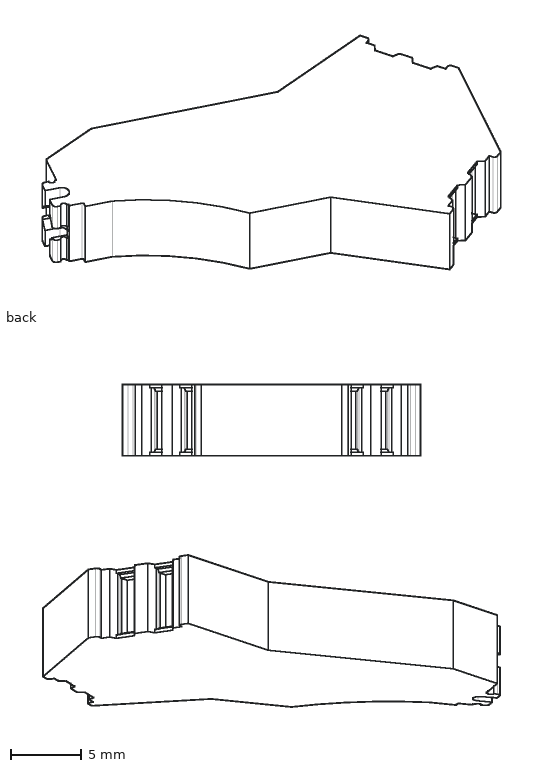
import cadquery as cq
import math

LENGTH = 32.2
HEIGHT = 5.1
HEAD_WIDTH = 21.2

BODY_WIDTH = 12.53
HEAD_FLAT = 9.98
SIDE_ANGLE = 60
HEAD_TIP_Y = 10.53
TAIL_CORNER_Y = -10.85
TAIL_Y = -14.97
ARC_START_Y = -3.0
ARC_END = (2.03, -11.9)
ARC_RADIUS = 18.68
STEP_X = 1.6
STEP_Y = -13.9
STEP_ROUND = 0.13

FORK_WIDTH = 2.9
GROOVE_Y = -15.33
GROOVE_RADIUS = 0.23
BEAD_ROUND = 0.3
FORK_SLOT = 1.05
FORK_SLOT_DEPTH = 1.6
CROSS_SLOT = 1.03
BORE_DIAMETER = 2.4
BORE_DEPTH = 3.85
BORE_END_SLOPE = 25

RECESS_WIDTH = 6.35
RECESS_DEPTH = 0.5
LIP_ROUND = 0.24
POCKET_OFFSET = 1.5
POCKET_MOUTH = 2.0
POCKET_FLOOR = 1.42
POCKET_DEPTH = 1.0
WELL_WIDTH = 1.3
WELL_STEP_DEPTH = 1.4
WELL_CHAMFER = 0.13
WELL_INNER_WIDTH = 1.22
WELL_STRAIGHT_DEPTH = 1.67
WELL_DEPTH = 2.2
WELL_FLOOR = 0.87
WELL_MARGIN = 0.25
WELL_INNER_MARGIN = 0.48

top_y = LENGTH / 2
end_y = -LENGTH / 2
body_side = BODY_WIDTH / 2
head_tip = HEAD_WIDTH / 2
slope = math.tan(math.radians(SIDE_ANGLE))


def make_body():
    waist_y = HEAD_TIP_Y - (head_tip - body_side) * slope
    tail_x = -body_side + (TAIL_CORNER_Y - TAIL_Y) / slope
    arc_x, arc_y = ARC_END
    outline = (
        cq.Workplane("XY")
        .workplane(offset=-HEIGHT / 2)
        .moveTo(-HEAD_FLAT / 2, top_y)
        .lineTo(HEAD_FLAT / 2, top_y)
        .lineTo(head_tip, HEAD_TIP_Y)
        .lineTo(body_side, waist_y)
        .lineTo(body_side, ARC_START_Y)
        .radiusArc((arc_x, arc_y), -ARC_RADIUS)
        .lineTo(arc_x, STEP_Y)
        .lineTo(STEP_X + STEP_ROUND, STEP_Y)
        .radiusArc((STEP_X, STEP_Y - STEP_ROUND), -STEP_ROUND)
        .lineTo(STEP_X, TAIL_Y)
        .lineTo(tail_x, TAIL_Y)
        .lineTo(-body_side, TAIL_CORNER_Y)
        .lineTo(-body_side, waist_y)
        .lineTo(-head_tip, HEAD_TIP_Y)
        .close()
    )
    return outline.extrude(HEIGHT)


def make_fork():
    """Block with a rounded tip and a round groove along each side, which leaves a bead at its end."""
    half_fork = FORK_WIDTH / 2
    groove_top = GROOVE_Y + GROOVE_RADIUS
    groove_bottom = GROOVE_Y - GROOVE_RADIUS
    groove_floor = half_fork - GROOVE_RADIUS
    return (
        cq.Workplane("XY")
        .workplane(offset=-HEIGHT / 2)
        .moveTo(-half_fork, TAIL_Y)
        .lineTo(-half_fork, groove_top)
        .threePointArc((-groove_floor, GROOVE_Y), (-half_fork, groove_bottom))
        .lineTo(-half_fork, end_y + BEAD_ROUND)
        .radiusArc((-half_fork + BEAD_ROUND, end_y), -BEAD_ROUND)
        .lineTo(half_fork - BEAD_ROUND, end_y)
        .radiusArc((half_fork, end_y + BEAD_ROUND), -BEAD_ROUND)
        .lineTo(half_fork, groove_bottom)
        .threePointArc((groove_floor, GROOVE_Y), (half_fork, groove_top))
        .lineTo(half_fork, TAIL_Y)
        .close()
        .extrude(HEIGHT)
    )


def make_fork_slots():
    """Round-ended upright slot and the level slot that crosses it."""
    radius = FORK_SLOT / 2
    centre_y = end_y + FORK_SLOT_DEPTH - radius
    upright = (
        cq.Workplane("XY")
        .workplane(offset=-HEIGHT / 2)
        .moveTo(-radius, end_y)
        .lineTo(-radius, centre_y)
        .threePointArc((0, centre_y + radius), (radius, centre_y))
        .lineTo(radius, end_y)
        .close()
        .extrude(HEIGHT)
    )
    fork_length = TAIL_Y - end_y
    level = cq.Workplane("XY").box(FORK_WIDTH, fork_length, CROSS_SLOT)
    return upright.union(level.translate((0, (TAIL_Y + end_y) / 2, 0)))


def make_bore():
    """Bore from the fork end; the upper half of its end leans away from the mouth."""
    radius = BORE_DIAMETER / 2
    floor_y = end_y + BORE_DEPTH
    lean_y = floor_y + radius * math.tan(math.radians(BORE_END_SLOPE))
    cylinder = cq.Workplane("XZ", origin=(0, end_y, 0)).circle(radius).extrude(end_y - lean_y)
    side_shape = (
        cq.Workplane("YZ")
        .polyline([(end_y, -radius), (floor_y, -radius), (floor_y, 0), (lean_y, radius), (end_y, radius)])
        .close()
        .extrude(radius, both=True)
    )
    return cylinder.intersect(side_shape)


def make_prism(points, height):
    return cq.Workplane("XY").polyline(points).close().extrude(height / 2, both=True)


def trapezoid(outer_width, outer_depth, inner_width, inner_depth):
    """Symmetric four-sided outline, X along the edge and -Y into the body."""
    return [
        (-outer_width / 2, -outer_depth),
        (outer_width / 2, -outer_depth),
        (inner_width / 2, -inner_depth),
        (-inner_width / 2, -inner_depth),
    ]


def make_pocket():
    outer_height = HEIGHT - 2 * WELL_MARGIN
    inner_height = HEIGHT - 2 * WELL_INNER_MARGIN
    flank = (POCKET_MOUTH - POCKET_FLOOR) / 2 / (POCKET_DEPTH - RECESS_DEPTH)
    flank_end = POCKET_DEPTH + (POCKET_FLOOR - WELL_WIDTH) / 2 / flank
    chamfer_end = WELL_STEP_DEPTH + WELL_CHAMFER
    pocket = make_prism(trapezoid(POCKET_MOUTH, RECESS_DEPTH, POCKET_FLOOR, POCKET_DEPTH), HEIGHT)
    entry = make_prism(trapezoid(POCKET_FLOOR, POCKET_DEPTH, WELL_WIDTH, flank_end), outer_height)
    shaft = make_prism(trapezoid(WELL_WIDTH, flank_end, WELL_WIDTH, WELL_STEP_DEPTH), outer_height)
    chamfer = (
        cq.Workplane("XZ", origin=(0, -WELL_STEP_DEPTH, 0))
        .rect(WELL_WIDTH, outer_height)
        .workplane(offset=WELL_CHAMFER)
        .rect(WELL_INNER_WIDTH, inner_height)
        .loft(ruled=True)
    )
    inner_outline = trapezoid(WELL_INNER_WIDTH, chamfer_end, WELL_INNER_WIDTH, WELL_STRAIGHT_DEPTH)
    inner = make_prism(inner_outline, inner_height)
    bottom = make_prism(trapezoid(WELL_INNER_WIDTH, WELL_STRAIGHT_DEPTH, WELL_FLOOR, WELL_DEPTH), inner_height)
    return pocket.union(entry).union(shaft).union(chamfer).union(inner).union(bottom)


def make_left_socket():
    """Round-lipped recess with two pockets, set into the slanted edge on the -X side."""
    half_recess = RECESS_WIDTH / 2
    half_mouth = half_recess + LIP_ROUND
    socket = (
        cq.Workplane("XY")
        .moveTo(-half_mouth, 0)
        .radiusArc((-half_recess, -LIP_ROUND), LIP_ROUND)
        .lineTo(-half_recess, -RECESS_DEPTH)
        .lineTo(half_recess, -RECESS_DEPTH)
        .lineTo(half_recess, -LIP_ROUND)
        .radiusArc((half_mouth, 0), LIP_ROUND)
        .close()
        .extrude(HEIGHT / 2, both=True)
    )
    for side in (-1, 1):
        socket = socket.union(make_pocket().translate((side * POCKET_OFFSET, 0, 0)))
    edge_run = head_tip - HEAD_FLAT / 2
    edge_rise = top_y - HEAD_TIP_Y
    edge_angle = math.degrees(math.atan2(edge_rise, edge_run))
    edge_middle = (-(head_tip + HEAD_FLAT / 2) / 2, (top_y + HEAD_TIP_Y) / 2, 0)
    return socket.rotate((0, 0, 0), (0, 0, 1), edge_angle).translate(edge_middle)


left_socket = make_left_socket()
right_socket = left_socket.mirror("YZ")

result = (
    make_body()
    .union(make_fork())
    .cut(make_fork_slots())
    .cut(make_bore())
    .cut(left_socket)
    .cut(right_socket)
)